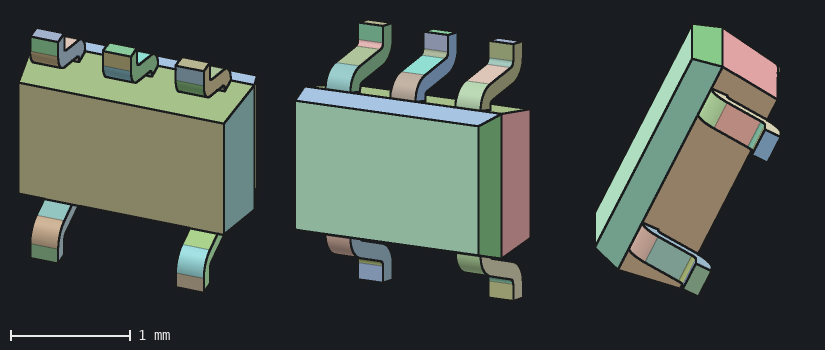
import cadquery as cq
import math

overall_height = 2.2
body_length = 1.97
body_height = 1.24
back_depth = 0.25
front_depth = 0.55
face_inset = 0.068

lead_pitch = 0.65
lead_width = 0.25
lead_thickness = 0.15
lead_reach = 0.65
foot_length = 0.145
inner_bend_radius = 0.05
bend_angle = 75.0

upper_lead_positions = [-lead_pitch, 0, lead_pitch]
lower_lead_positions = [-lead_pitch, lead_pitch]

outer_bend_radius = inner_bend_radius + lead_thickness


def make_body():
    """Block that tapers from the parting plane towards its front and back faces."""
    face_length = body_length - 2 * face_inset
    face_height = body_height - 2 * face_inset
    return (
        cq.Workplane("XZ", origin=(0, back_depth, 0))
        .rect(face_length, face_height)
        .workplane(offset=back_depth)
        .rect(body_length, body_height)
        .workplane(offset=front_depth)
        .rect(face_length, face_height)
        .loft(ruled=True)
    )


def on_circle(center, radius, degrees):
    """Point (y, z) on a circle, with the angle measured from +Y towards +Z."""
    angle = math.radians(degrees)
    return (center[0] + radius * math.cos(angle), center[1] + radius * math.sin(angle))


def make_upper_lead(x_position):
    """Lead that leaves the upper body slope, slants forward and ends in an upright foot."""
    lead_end = overall_height / 2
    foot_start = lead_end - foot_length

    middle_radius = inner_bend_radius + lead_thickness / 2
    turn = math.radians(bend_angle)
    forward_shift = lead_reach - lead_thickness
    slant_depth = forward_shift - 2 * middle_radius * (1 - math.cos(turn))
    rise = 2 * middle_radius * math.sin(turn) + slant_depth / math.tan(turn)

    root_center = (-outer_bend_radius, foot_start - rise)
    foot_center = (outer_bend_radius - lead_reach, foot_start)

    root_back_z = body_height / 2
    root_front_z = root_back_z - face_inset * lead_thickness / front_depth

    root_mid, root_end = bend_angle / 2, bend_angle
    foot_mid, foot_end = 180 + bend_angle / 2, 180 + bend_angle

    return (
        cq.Workplane("YZ", origin=(x_position - lead_width / 2, 0, 0))
        .moveTo(0, root_back_z)
        .lineTo(*on_circle(root_center, outer_bend_radius, 0))
        .threePointArc(
            on_circle(root_center, outer_bend_radius, root_mid),
            on_circle(root_center, outer_bend_radius, root_end),
        )
        .lineTo(*on_circle(foot_center, inner_bend_radius, foot_end))
        .threePointArc(
            on_circle(foot_center, inner_bend_radius, foot_mid),
            on_circle(foot_center, inner_bend_radius, 180),
        )
        .lineTo(lead_thickness - lead_reach, lead_end)
        .lineTo(-lead_reach, lead_end)
        .lineTo(*on_circle(foot_center, outer_bend_radius, 180))
        .threePointArc(
            on_circle(foot_center, outer_bend_radius, foot_mid),
            on_circle(foot_center, outer_bend_radius, foot_end),
        )
        .lineTo(*on_circle(root_center, inner_bend_radius, root_end))
        .threePointArc(
            on_circle(root_center, inner_bend_radius, root_mid),
            on_circle(root_center, inner_bend_radius, 0),
        )
        .lineTo(-lead_thickness, root_front_z)
        .close()
        .extrude(lead_width)
    )


def make_lower_lead(x_position):
    """Mirror image of an upper lead below the body."""
    return make_upper_lead(x_position).mirror("XY")


body = make_body()

leads = []
for x in upper_lead_positions:
    leads.append(make_upper_lead(x).val())
for x in lower_lead_positions:
    leads.append(make_lower_lead(x).val())

result = cq.Compound.makeCompound([body.val(), *leads])